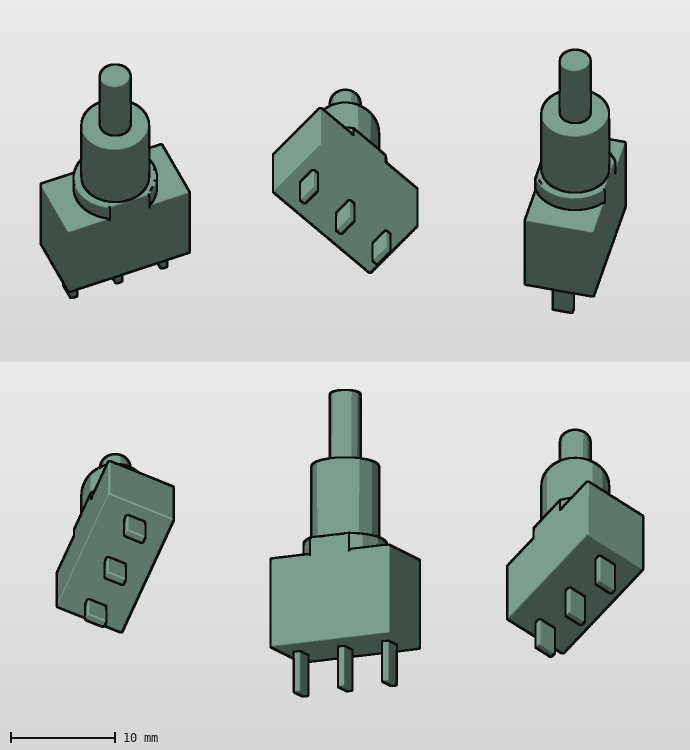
import cadquery as cq

total_height = 29.15
body_width = 6.85
body_length = 12.7
edge_radius = 0.2

body_bottom = 4.02
body_top = 12.85
collar_top = 14.45
bushing_top = 22.07

collar_diameter = 8.0
bushing_diameter = 6.5
plunger_diameter = 2.97

pin_width = 2.0
pin_thickness = 0.75
pin_pitch = 4.7
pin_count = 3


def block(width, length, bottom, top):
    """Box centred on the Z axis between two heights."""
    return (
        cq.Workplane("XY", origin=(0, 0, bottom))
        .rect(width, length)
        .extrude(top - bottom)
    )


def cylinder(diameter, bottom, top):
    """Cylinder on the Z axis between two heights."""
    return (
        cq.Workplane("XY", origin=(0, 0, bottom))
        .circle(diameter / 2)
        .extrude(top - bottom)
    )


body = block(body_width, body_length, body_bottom, body_top).edges().fillet(edge_radius)

collar_bottom = body_top - edge_radius
collar = cylinder(collar_diameter, collar_bottom, collar_top).intersect(
    block(body_width, body_length, collar_bottom, collar_top)
)
collar = collar.faces(">Z").edges().fillet(edge_radius)

bushing = cylinder(bushing_diameter, body_top, bushing_top)
bushing = bushing.faces(">Z").edges().fillet(edge_radius)
plunger = cylinder(plunger_diameter, collar_top, total_height)
plunger = plunger.faces(">Z").edges().fillet(edge_radius)

result = body.union(collar).union(bushing).union(plunger)

pin = block(pin_width, pin_thickness, 0, body_bottom + edge_radius)
pin = pin.edges("|Z or <Z").fillet(edge_radius)
for index in range(pin_count):
    pin_y = (index - (pin_count - 1) / 2) * pin_pitch
    result = result.union(pin.translate((0, pin_y, 0)))